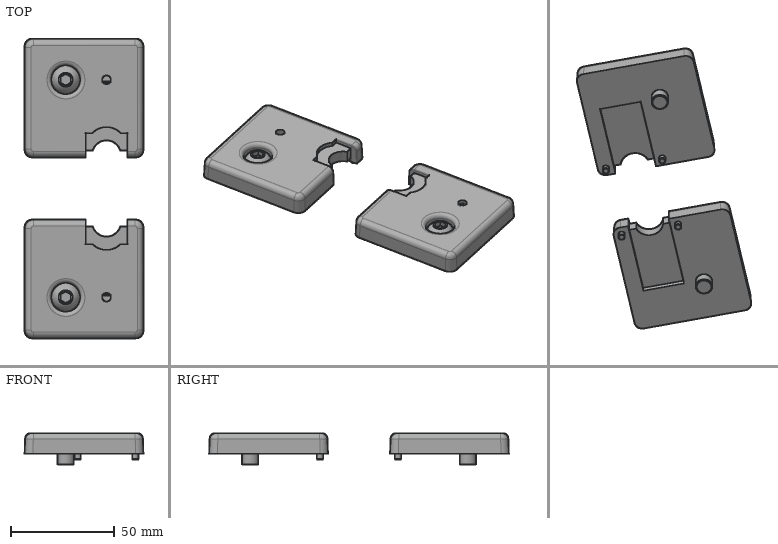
import cadquery as cq
import math

cover_side = 57.8
cover_height = 10.0
corner_radius = 4.0
top_edge_radius = 2.9
draft_angle = 2.0
side_wall_height = cover_height - top_edge_radius
overall_length = 145.6
cover_center_y = (overall_length - cover_side) / 2
notch_edge_y = -cover_side / 2

notch_center_x = 10.9
notch_width = 20.1
notch_depth = 12.0
notch_edge_radius = 0.3
bulge_radius = 9.5
bulge_depth = 14.9
bulge_center_y = notch_edge_y + bulge_depth - bulge_radius

roof_thickness = 2.0
insert_thickness = 6.0
insert_width = notch_width
insert_setback = 3.3
insert_front_y = notch_edge_y + insert_setback
insert_top_z = cover_height - roof_thickness
insert_bottom_z = insert_top_z - insert_thickness
cutout_radius = 7.0
cutout_center_y = notch_edge_y + 1.3

small_hole_diameter = 4.2
small_hole_y = 8.9
small_hole_depth = 5.1
insert_overlap = 0.9
insert_rear_gap = 0.5
insert_rear_y = small_hole_y - small_hole_diameter / 2 + insert_overlap

screw_x = -8.9
screw_y = 8.9
shank_diameter = 8.0
shank_length = 10.0
shank_end_chamfer = 0.5
head_diameter = 14.0
head_height = 4.4
head_flat_diameter = 6.8
socket_flats = 5.0
socket_depth = 2.6
screw_protrusion = 5.4
seat_z = shank_length - screw_protrusion
bore_radius = head_diameter / 2
bore_rim_radius = 2.2

pin_diameter = 3.2
pin_length = 2.8
pin_end_chamfer = 0.3
pin_edge_distance = 4.0
pin_spacing = 28.0


def make_cover_block():
    """Drafted square block with rounded corners and top edge."""
    block = cq.Workplane("XY").rect(cover_side, cover_side).extrude(cover_height, taper=draft_angle)
    corners = block.edges("not #Z").edges("not(|X or |Y)")
    return corners.fillet(corner_radius).faces(">Z").edges().fillet(top_edge_radius)


def make_notch():
    """Full-height notch with an arc bulging from its inner end."""
    slot = (
        cq.Workplane("XY")
        .center(notch_center_x, notch_edge_y)
        .rect(notch_width, 2 * notch_depth)
        .extrude(cover_height)
    )
    bulge = cq.Workplane("XY").center(notch_center_x, bulge_center_y).circle(bulge_radius).extrude(cover_height)
    return slot.union(bulge)


def make_block(front_y, rear_y, bottom_z):
    """Block as wide as the insert, from the given bottom up to the roof."""
    return (
        cq.Workplane("XY", origin=(notch_center_x, (front_y + rear_y) / 2, bottom_z))
        .rect(insert_width, rear_y - front_y)
        .extrude(insert_top_z - bottom_z)
    )


def make_pocket():
    """Pocket for the insert, open at the bottom and at the notch, with a gap behind the insert."""
    return make_block(notch_edge_y + notch_depth / 2, insert_rear_y + insert_rear_gap, 0)


def make_screw_seat():
    """Bore for the screw head with a flared rim, and the shank hole below it."""
    shank_hole = cq.Workplane("XY").circle(shank_diameter / 2).extrude(seat_z)
    rim_outer = bore_radius + bore_rim_radius
    arc_offset = bore_rim_radius * (1 - math.sqrt(0.5))
    bore = (
        cq.Workplane("XZ")
        .moveTo(0, seat_z)
        .lineTo(bore_radius, seat_z)
        .lineTo(bore_radius, cover_height - bore_rim_radius)
        .threePointArc(
            (bore_radius + arc_offset, cover_height - arc_offset),
            (rim_outer, cover_height),
        )
        .lineTo(0, cover_height)
        .close()
        .revolve()
    )
    return shank_hole.union(bore).translate((screw_x, screw_y, 0))


def make_pins():
    """Pair of pins, one on each side of the notch."""
    return (
        cq.Workplane("XY")
        .center(notch_center_x, notch_edge_y + pin_edge_distance)
        .pushPoints([(-pin_spacing / 2, 0), (pin_spacing / 2, 0)])
        .circle(pin_diameter / 2)
        .extrude(-pin_length)
        .faces("<Z")
        .edges()
        .chamfer(pin_end_chamfer)
    )


def make_cover():
    cover = make_cover_block().cut(make_notch())
    for side in (-1, 1):
        corner_x = notch_center_x + side * notch_width / 2
        corner = cq.selectors.NearestToPointSelector((corner_x, notch_edge_y, side_wall_height / 2))
        cover = cover.edges(corner).fillet(notch_edge_radius)
    small_hole = (
        cq.Workplane("XY", origin=(notch_center_x, small_hole_y, cover_height))
        .circle(small_hole_diameter / 2)
        .extrude(-small_hole_depth)
    )
    return cover.cut(make_screw_seat()).cut(small_hole).cut(make_pocket()).union(make_pins())


def make_insert():
    cutout = (
        cq.Workplane("XY", origin=(notch_center_x, cutout_center_y, 0))
        .circle(cutout_radius)
        .extrude(cover_height)
    )
    return make_block(insert_front_y, insert_rear_y, insert_bottom_z).cut(cutout)


def make_screw():
    """Button-head screw with a domed head and a hexagon socket."""
    head_top_z = seat_z + head_height
    base_radius = head_diameter / 2
    flat_radius = head_flat_diameter / 2
    center_rise = (head_height**2 + flat_radius**2 - base_radius**2) / (2 * head_height)
    dome_radius = math.hypot(base_radius, center_rise)
    mid_rise = head_height / 2
    mid_radius = math.sqrt(dome_radius**2 - (mid_rise - center_rise) ** 2)
    head = (
        cq.Workplane("XZ")
        .moveTo(0, seat_z)
        .lineTo(base_radius, seat_z)
        .threePointArc((mid_radius, seat_z + mid_rise), (flat_radius, head_top_z))
        .lineTo(0, head_top_z)
        .close()
        .revolve()
    )
    shank = (
        cq.Workplane("XY", origin=(0, 0, seat_z))
        .circle(shank_diameter / 2)
        .extrude(-shank_length)
        .faces("<Z")
        .edges()
        .chamfer(shank_end_chamfer)
    )
    socket = (
        cq.Workplane("XY", origin=(0, 0, head_top_z))
        .polygon(6, socket_flats / math.cos(math.radians(30)))
        .extrude(-socket_depth)
        .rotate((0, 0, 0), (0, 0, 1), 90)
    )
    return head.union(shank).cut(socket).translate((screw_x, screw_y, 0))


bodies = []
for make_body in (make_cover, make_insert, make_screw):
    rear_body = make_body().translate((0, cover_center_y, 0))
    front_body = rear_body.mirror("XZ")
    bodies += [rear_body.val(), front_body.val()]

result = cq.Compound.makeCompound(bodies)